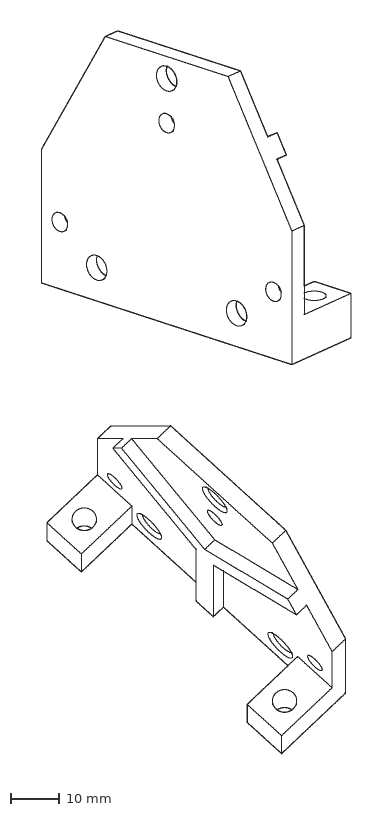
import cadquery as cq
import math

width = 68.0
height = 60.0
plate_thickness = 4.0
shoulder_z = height / 2
side_angle = 60.0
top_half_width = width / 2 - (height - shoulder_z) / math.tan(math.radians(side_angle))

depth = 19.0
foot_size = 10.0
foot_hole_diameter = 5.0
foot_hole_y = 13.0
foot_x = (width - foot_size) / 2

rib_width = 5.0
rib_height = 3.0

small_hole_diameter = 4.2
small_hole_z = 15.0
upper_small_hole_z = 45.0
large_hole_diameter = 5.5
large_hole_x = 19.0
large_hole_z = 7.5
upper_large_hole_z = 55.0
countersink_depth = 0.8


def plate_prism(start_y, thickness):
    """Plate outline extruded towards +Y from start_y."""
    return (
        cq.Workplane("XZ", origin=(0, start_y, 0))
        .polyline([
            (-width / 2, 0),
            (width / 2, 0),
            (width / 2, shoulder_z),
            (top_half_width, height),
            (-top_half_width, height),
            (-width / 2, shoulder_z),
        ])
        .close()
        .extrude(-thickness)
    )


def ribs():
    """Stem and two arms meeting at the plate centre, trimmed to the plate outline."""
    hub_z = height / 2
    side_middle_x = (width / 2 + top_half_width) / 2
    side_middle_z = (shoulder_z + height) / 2
    arm_angle = math.degrees(math.atan2(side_middle_z - hub_z, side_middle_x))
    arm_length = width

    stem = cq.Workplane("XY").box(rib_width, rib_height, hub_z, centered=(True, False, False))
    stem = stem.translate((0, plate_thickness, 0))
    spokes = stem
    for direction in (arm_angle, 180 - arm_angle):
        arm = cq.Workplane("XY").box(arm_length, rib_height, rib_width, centered=(False, False, True))
        arm = arm.rotate((0, 0, 0), (0, 1, 0), -direction)
        spokes = spokes.union(arm.translate((0, plate_thickness, hub_z)))
    return spokes.intersect(plate_prism(plate_thickness, rib_height))


def foot(x):
    """Corner block with a vertical through hole."""
    block = cq.Workplane("XY").box(foot_size, depth, foot_size, centered=(True, False, False))
    hole = cq.Workplane("XY").center(0, foot_hole_y).circle(foot_hole_diameter / 2).extrude(foot_size)
    return block.cut(hole).translate((x, 0, 0))


def plate_holes(diameter, points):
    """Cutters along Y, long enough to pass through the plate and the feet."""
    return cq.Workplane("XZ").pushPoints(points).circle(diameter / 2).extrude(-depth)


def countersink(x, z):
    """Cone at the back of a large hole, widening by its own depth."""
    hole_radius = large_hole_diameter / 2
    return cq.Workplane(cq.Solid.makeCone(
        hole_radius,
        hole_radius + countersink_depth,
        countersink_depth,
        pnt=cq.Vector(x, plate_thickness - countersink_depth, z),
        dir=cq.Vector(0, 1, 0),
    ))


body = plate_prism(0, plate_thickness).union(ribs())
for x in (-foot_x, foot_x):
    body = body.union(foot(x))

small_holes = [(-foot_x, small_hole_z), (foot_x, small_hole_z), (0, upper_small_hole_z)]
large_holes = [(-large_hole_x, large_hole_z), (large_hole_x, large_hole_z), (0, upper_large_hole_z)]
result = (
    body
    .cut(plate_holes(small_hole_diameter, small_holes))
    .cut(plate_holes(large_hole_diameter, large_holes))
)
for x, z in large_holes:
    result = result.cut(countersink(x, z))